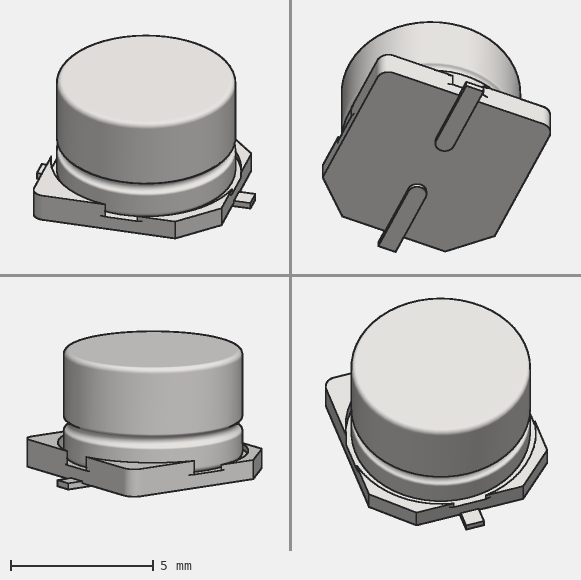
import cadquery as cq
import math

total_length = 7.8
total_height = 4.5

base_side = 6.6
base_bottom = 0.155
base_low_top = 0.85
base_high_top = 1.15
corner_radius = 0.43
corner_chamfer = 1.325

recess_floor = 0.65
notch_width = 1.17
recess_radius = math.hypot(base_side / 2, notch_width / 2)

can_radius = 6.3 / 2
can_edge_radius = 0.195
groove_height = 1.85
groove_radius = 0.195
groove_lip_radius = 0.1

terminal_width = 0.66
terminal_thickness = 0.23
terminal_inner_x = 0.9


def make_base():
    """Base with two rounded corners, two chamfered corners, a step and a can recess."""
    height = base_high_top - base_bottom
    base = (
        cq.Workplane("XY", origin=(0, 0, base_bottom))
        .rect(base_side, base_side)
        .extrude(height)
        .edges("|Z and <X").fillet(corner_radius)
        .edges("|Z and >X").chamfer(corner_chamfer)
    )
    step = (
        cq.Workplane("XY", origin=(0, 0, base_low_top))
        .rect(base_side, base_side)
        .extrude(height)
        .intersect(cq.Workplane("XY").box(total_length, total_length, total_length,
                                          centered=(False, True, True)))
    )
    recess = cq.Workplane("XY", origin=(0, 0, recess_floor)).circle(recess_radius).extrude(height)
    return base.cut(step).cut(recess)


def make_can():
    """Can revolved from a half profile; its groove arc is tangent to a round lip on each side."""
    lip_reach = groove_radius + groove_lip_radius
    lip_offset = math.sqrt(lip_reach**2 - groove_lip_radius**2)
    lip_angle = math.asin(groove_lip_radius / lip_reach)
    tangent_radius = can_radius - groove_radius * math.sin(lip_angle)
    tangent_offset = groove_radius * math.cos(lip_angle)

    lip_middle_angle = (math.pi / 2 - lip_angle) / 2
    lip_center_radius = can_radius - groove_lip_radius
    lip_middle_radius = lip_center_radius + groove_lip_radius * math.cos(lip_middle_angle)
    lip_middle_offset = lip_offset - groove_lip_radius * math.sin(lip_middle_angle)

    can = (
        cq.Workplane("XZ")
        .moveTo(0, recess_floor)
        .lineTo(can_radius, recess_floor)
        .lineTo(can_radius, groove_height - lip_offset)
        .threePointArc(
            (lip_middle_radius, groove_height - lip_middle_offset),
            (tangent_radius, groove_height - tangent_offset),
        )
        .threePointArc(
            (can_radius - groove_radius, groove_height),
            (tangent_radius, groove_height + tangent_offset),
        )
        .threePointArc(
            (lip_middle_radius, groove_height + lip_middle_offset),
            (can_radius, groove_height + lip_offset),
        )
        .lineTo(can_radius, total_height)
        .lineTo(0, total_height)
        .close()
        .revolve(360, (0, 0, 0), (0, 1, 0))
    )
    return can.faces("<Z or >Z").edges().fillet(can_edge_radius)


def make_terminal(side):
    """Flat terminal on the +X (side=1) or -X (side=-1) end, with a round inner end."""
    half_width = terminal_width / 2
    outer_x = side * total_length / 2
    round_start_x = side * (terminal_inner_x + half_width)
    return (
        cq.Workplane("XY")
        .moveTo(outer_x, -half_width)
        .lineTo(round_start_x, -half_width)
        .threePointArc((side * terminal_inner_x, 0), (round_start_x, half_width))
        .lineTo(outer_x, half_width)
        .close()
        .extrude(terminal_thickness)
    )


result = make_base().union(make_can())
for side in (-1, 1):
    result = result.union(make_terminal(side))